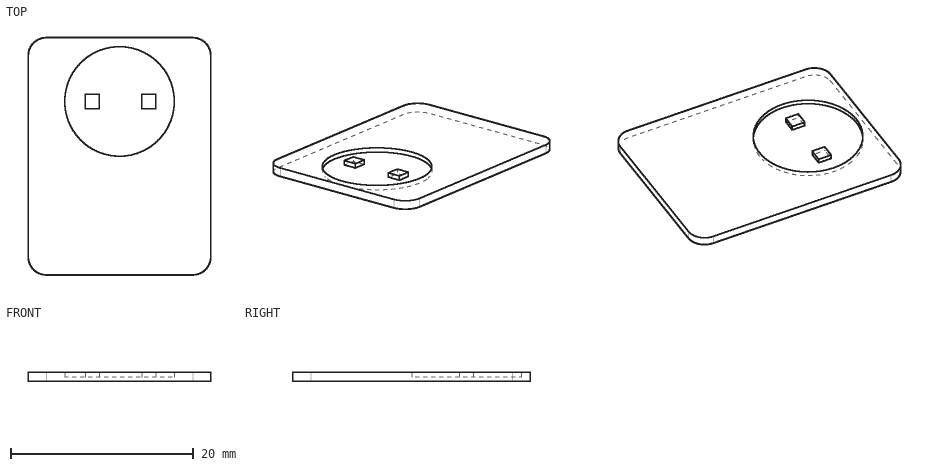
import cadquery as cq

plate_width = 20.0
plate_length = 26.0
plate_thickness = 1.0
corner_radius = 2.0

pocket_diameter = 12.0
pocket_edge_margin = 1.0
pocket_depth = 0.5
pocket_center_y = plate_length / 2 - pocket_edge_margin - pocket_diameter / 2
pocket_floor_z = plate_thickness - pocket_depth

pad_side = 1.55
pad_height = 0.5
pad_centers_x = (-3.0, 3.2)


def make_plate():
    """Flat plate with rounded vertical corners, bottom face at Z = 0."""
    plate = cq.Workplane("XY").box(
        plate_width, plate_length, plate_thickness, centered=(True, True, False)
    )
    return plate.edges("|Z").fillet(corner_radius)


def make_pocket():
    """Cylinder removed from the top face."""
    floor = cq.Workplane("XY", origin=(0, pocket_center_y, pocket_floor_z))
    return floor.circle(pocket_diameter / 2).extrude(pocket_depth)


def make_pad(center_x):
    """Square pad rising from the pocket floor."""
    base = cq.Workplane("XY", origin=(center_x, pocket_center_y, pocket_floor_z))
    return base.rect(pad_side, pad_side).extrude(pad_height)


result = make_plate().cut(make_pocket())
for pad_x in pad_centers_x:
    result = result.union(make_pad(pad_x))